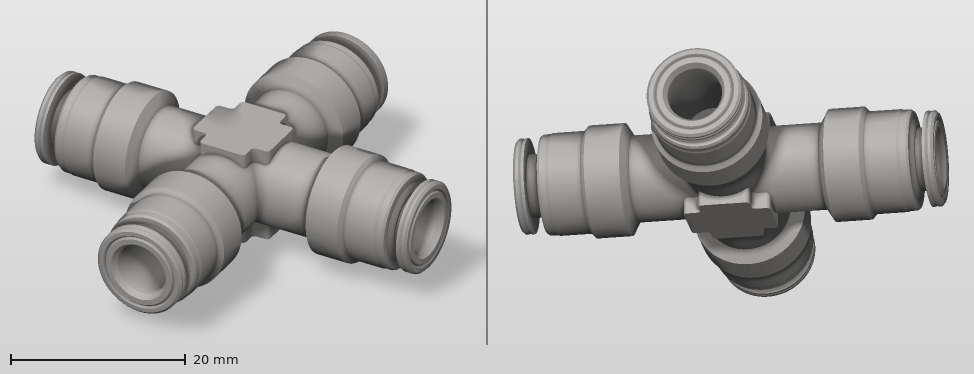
import cadquery as cq

reach = 24.4

tube_diameter = 10.0
tube_radius = tube_diameter / 2
shoulder_radius = 6.5
shoulder_start = 11.85
shoulder_inner_cone = 0.9
shoulder_end = 15.95
shoulder_outer_cone = 0.55
sleeve_radius = 5.9
sleeve_end = 20.2
cap_radius = 5.8
cap_start = 20.5
cap_end = 21.55
cap_chamfer_length = 0.3
cap_chamfer_drop = 0.2
nose_base_radius = 4.8
nose_tip_radius = 4.0
nose_length = 0.45
neck_radius = 3.65

collar_radius = 5.5
collar_width = 1.25
collar_chamfer = 0.3
rim_groove_centre = 0.8
rim_groove_width = 0.35
rim_groove_depth = 0.15
face_groove_radius = 4.5
face_groove_width = 0.45
face_groove_depth = 0.25

mouth_radius = 3.6
mouth_depth = 0.75
socket_radius = 3.15
socket_depth = 12.7
seat_length = 0.4
passage_radius = 2.45

pad_half_length = 5.05
pad_half_width = 3.0
pad_half_height = 5.95
pad_corner_radius = 0.5

crotch_radius = 0.5
crotch_half_height = 4.2


def revolve_about_x(points):
    """Solid of revolution about X from a closed (x, radius) outline."""
    profile = cq.Workplane("XY").polyline(points).close()
    return profile.revolve(360, (0, 0, 0), (1, 0, 0))


def port_body():
    """Shoulder, sleeve, cap, neck and release collar of the +X port."""
    collar_back = reach - collar_width
    groove_x = reach - rim_groove_centre
    groove_half = rim_groove_width / 2
    face_half = face_groove_width / 2
    return revolve_about_x([
        (shoulder_start - shoulder_inner_cone, 0),
        (shoulder_start - shoulder_inner_cone, tube_radius),
        (shoulder_start, shoulder_radius),
        (shoulder_end, shoulder_radius),
        (shoulder_end + shoulder_outer_cone, sleeve_radius),
        (sleeve_end, sleeve_radius),
        (cap_start, cap_radius),
        (cap_end - cap_chamfer_length, cap_radius),
        (cap_end, cap_radius - cap_chamfer_drop),
        (cap_end, nose_base_radius),
        (cap_end + nose_length, nose_tip_radius),
        (cap_end + nose_length, neck_radius),
        (collar_back, neck_radius),
        (collar_back, collar_radius),
        (groove_x - groove_half, collar_radius),
        (groove_x, collar_radius - rim_groove_depth),
        (groove_x + groove_half, collar_radius),
        (reach - collar_chamfer, collar_radius),
        (reach, collar_radius - collar_chamfer),
        (reach, face_groove_radius + face_half),
        (reach - face_groove_depth, face_groove_radius),
        (reach, face_groove_radius - face_half),
        (reach, 0),
    ])


def port_bore():
    """Tapered mouth, tube socket, seat and passage of the +X port."""
    return revolve_about_x([
        (0, 0),
        (0, passage_radius),
        (reach - socket_depth - seat_length, passage_radius),
        (reach - socket_depth, socket_radius),
        (reach - mouth_depth, socket_radius),
        (reach, mouth_radius),
        (reach, 0),
    ])


def crossed_tubes():
    """The two plain tubes crossing at the centre."""
    tube_x = cq.Workplane("YZ").circle(tube_radius).extrude(shoulder_start, both=True)
    tube_y = cq.Workplane("XZ").circle(tube_radius).extrude(shoulder_start, both=True)
    return tube_x.union(tube_y)


def crotch_fillets(tubes):
    """Middle slice of the tubes, rounded along the curves where they meet."""
    span = 2 * shoulder_start
    slab = tubes.intersect(cq.Workplane("XY").box(span, span, 2 * crotch_half_height))
    inner = crotch_half_height / 2
    outer = tube_radius + crotch_radius
    for x_sign in (-1, 1):
        for y_sign in (-1, 1):
            corner = cq.selectors.BoxSelector(
                (x_sign * inner, y_sign * inner, -crotch_half_height),
                (x_sign * outer, y_sign * outer, crotch_half_height),
            )
            slab = slab.edges(corner).fillet(crotch_radius)
    return slab


def pads():
    """Rounded cross standing above and below the tubes at the centre."""
    length = 2 * pad_half_length
    width = 2 * pad_half_width
    height = 2 * pad_half_height
    bar_x = cq.Workplane("XY").box(length, width, height)
    bar_y = cq.Workplane("XY").box(width, length, height)
    return bar_x.union(bar_y).edges("|Z").fillet(pad_corner_radius)


def crossing():
    """Crossed tubes with filleted crotches and pads."""
    tubes = crossed_tubes()
    return tubes.union(crotch_fillets(tubes)).union(pads())


def around_z(shape):
    """Four copies of a +X feature, one for each port."""
    copies = shape
    for angle in (90, 180, 270):
        copies = copies.union(shape.rotate((0, 0, 0), (0, 0, 1), angle))
    return copies


result = crossing().union(around_z(port_body())).cut(around_z(port_bore()))